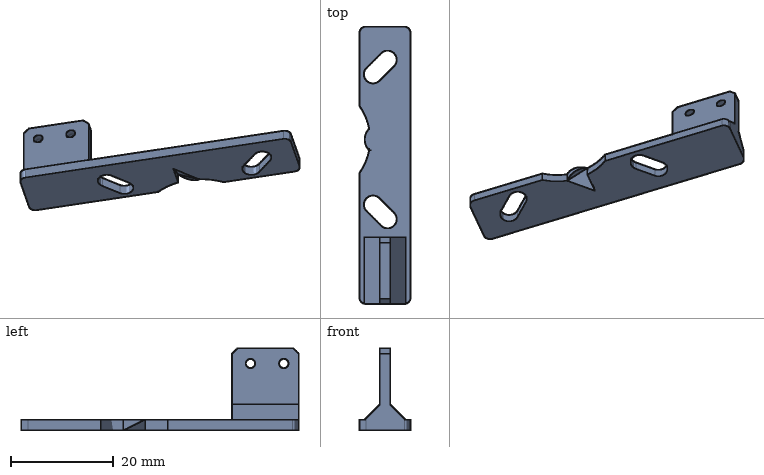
import cadquery as cq
import math

length = 54.0
width = 10.0
thickness = 2.1
corner_radius = 1.3

pivot_x = -0.9
pivot_y = 5.0

slot_offset = 14.1
slot_diameter = 3.5
slot_travel = 4.0
slot_angle = 45.0

notch_radius = 11.3
notch_half_width = 6.55
bump_diameter = 6.0
bump_half_width = 2.1

height = 16.0
web_thickness = 2.1
web_length = 13.0
web_chamfer = 1.1
foot_width = 8.0
foot_rise = (foot_width - web_thickness) / 2

hole_diameter = 1.8
hole_spacing = 6.5
hole_height = 13.0
first_hole_inset = 2.9

edge_x = -width / 2
end_y = -length / 2
notch_center_x = edge_x - math.sqrt(notch_radius**2 - notch_half_width**2)
corner_x = notch_center_x + math.sqrt(notch_radius**2 - bump_half_width**2)
bump_center_x = corner_x + math.sqrt((bump_diameter / 2) ** 2 - bump_half_width**2)


def make_rounded_block(block_height):
    block = cq.Workplane("XY").box(width, length, block_height, centered=(True, True, False))
    return block.edges("|Z").fillet(corner_radius)


def make_slot(side):
    """Through slot on one side (+1 or -1) of the pivot, angled at 45 degrees."""
    return (
        cq.Workplane("XY")
        .center(pivot_x, pivot_y + side * slot_offset)
        .slot2D(slot_travel + slot_diameter, slot_diameter, side * slot_angle)
        .extrude(thickness)
    )


def make_notch():
    notch = cq.Workplane("XY").center(notch_center_x, pivot_y).circle(notch_radius).extrude(thickness)
    bump = cq.Workplane("XY").center(bump_center_x, pivot_y).circle(bump_diameter / 2).extrude(thickness)
    return notch.cut(bump)


def make_bump_ramp():
    """Ramp that undercuts the bump, rising from its +Y corner to its -Y corner."""
    low_y = pivot_y + bump_half_width
    high_y = pivot_y - bump_half_width
    return (
        cq.Workplane("YZ", origin=(edge_x, 0, 0))
        .polyline([(low_y, 0), (high_y, 0), (high_y, thickness)])
        .close()
        .extrude(corner_x - edge_x)
    )


def make_undercut():
    """Three-sided pyramid that carries the ramp into the plate, shrinking to a point on the underside."""
    depth = 2 * bump_half_width
    apex = cq.Vector(corner_x + depth, pivot_y - bump_half_width, 0)
    low = cq.Vector(corner_x, pivot_y + bump_half_width, 0)
    below = cq.Vector(corner_x, pivot_y - bump_half_width, 0)
    high = below + cq.Vector(0, 0, thickness)
    triangles = [(low, below, high), (low, below, apex), (below, high, apex), (high, low, apex)]
    faces = [cq.Face.makeFromWires(cq.Wire.makePolygon(list(t), close=True)) for t in triangles]
    return cq.Workplane(cq.Solid.makeSolid(cq.Shell.makeShell(faces)))


def make_web():
    web = (
        cq.Workplane("XY", origin=(0, end_y, 0))
        .box(web_thickness, web_length, height, centered=(True, False, False))
        .edges("|X and >Z")
        .chamfer(web_chamfer)
    )
    foot = (
        cq.Workplane("XZ", origin=(0, end_y, 0))
        .moveTo(-foot_width / 2, 0)
        .lineTo(foot_width / 2, 0)
        .lineTo(foot_width / 2, thickness)
        .lineTo(web_thickness / 2, thickness + foot_rise)
        .lineTo(-web_thickness / 2, thickness + foot_rise)
        .lineTo(-foot_width / 2, thickness)
        .close()
        .extrude(-web_length)
    )
    footprint = make_rounded_block(height)
    return web.union(foot.intersect(footprint))


def make_web_holes():
    first_y = end_y + first_hole_inset
    return (
        cq.Workplane("YZ")
        .pushPoints([(first_y, hole_height), (first_y + hole_spacing, hole_height)])
        .circle(hole_diameter / 2)
        .extrude(web_thickness, both=True)
    )


result = make_rounded_block(thickness)
for side in (1, -1):
    result = result.cut(make_slot(side))
result = result.cut(make_notch())
result = result.cut(make_bump_ramp())
result = result.cut(make_undercut())
result = result.union(make_web())
result = result.cut(make_web_holes())